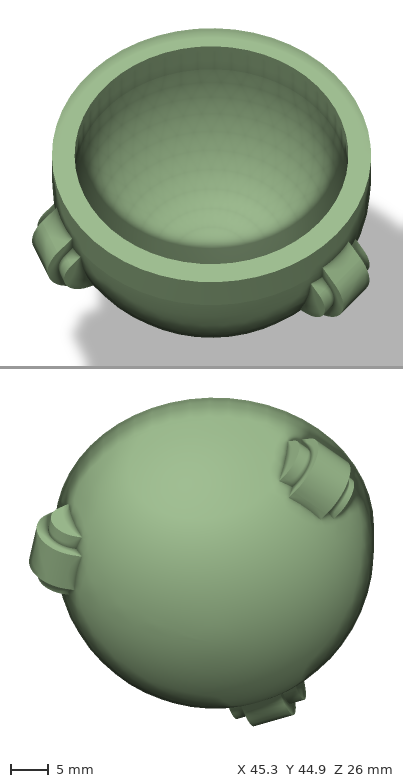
import cadquery as cq
import math

outer_diameter = 42.0
inner_diameter = 36.0
rim_height = 5.0

lug_count = 3
lug_reach = 24.31
lug_center_drop = 5.15
tab_radius = 4.9
tab_width = 5.55
pin_radius = 3.35
pin_width = 9.45
root_overlap = 0.9

outer_radius = outer_diameter / 2
inner_radius = inner_diameter / 2
lug_center_x = lug_reach - tab_radius
lug_root_x = inner_radius - root_overlap


def round_bottomed_cup(radius):
    """Solid half ball with a cylinder of the same radius on top."""
    return (
        cq.Workplane("XZ")
        .moveTo(0, rim_height)
        .lineTo(radius, rim_height)
        .lineTo(radius, 0)
        .radiusArc((0, -radius), radius)
        .close()
        .revolve(360, (0, 0), (0, 1))
    )


def lug_layer(radius, width):
    """Rounded profile with a flat bottom and a 45 degree top, centred on the XZ plane."""
    center_z = -lug_center_drop
    diagonal = radius * math.sqrt(0.5)
    slope_start_x = lug_center_x + diagonal
    slope_start_z = center_z + diagonal
    slope_end_z = slope_start_z + slope_start_x - lug_root_x
    return (
        cq.Workplane("XZ")
        .moveTo(lug_root_x, center_z - radius)
        .lineTo(lug_center_x, center_z - radius)
        .threePointArc((lug_center_x + radius, center_z), (slope_start_x, slope_start_z))
        .lineTo(lug_root_x, slope_end_z)
        .close()
        .extrude(width / 2, both=True)
    )


outer_cup = round_bottomed_cup(outer_radius)
cavity = round_bottomed_cup(inner_radius)
lug = lug_layer(tab_radius, tab_width).union(lug_layer(pin_radius, pin_width))

body = outer_cup
for index in range(lug_count):
    body = body.union(lug.rotate((0, 0, 0), (0, 0, 1), index * 360 / lug_count))

result = body.cut(cavity)